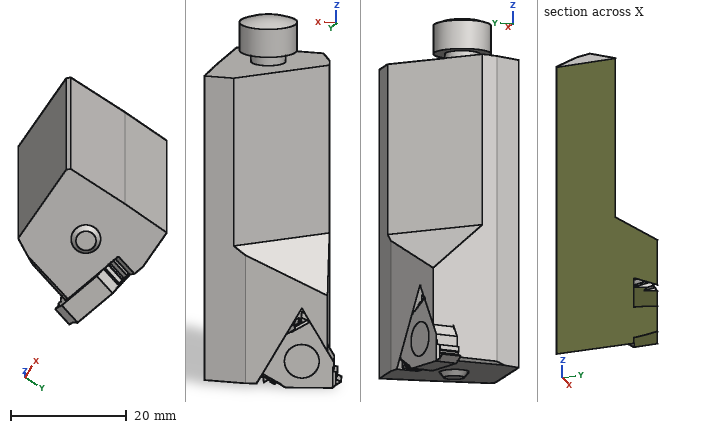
import cadquery as cq
import math


SHANK_TOP = 54.35
RIGHT_SIDE = 7.95
FRONT_SIDE = -8.0
BACK_SIDE = 12.7
RIGHT_RELIEF = 0.25
RIGHT_RELIEF_START = 3.8
CORNER_CHAMFER = 0.6
FRONT_FACE_LEFT = -7.5
FLANK_END = (-10.1, -3.3)
NOSE = (-13.4, 9.05)
LEAD_ANGLE = 15.0
lead = math.radians(LEAD_ANGLE)
along_seat = cq.Vector(-math.cos(lead), -math.sin(lead), 0)
seat_normal = cq.Vector(-math.sin(lead), math.cos(lead), 0)
seat_back_x = NOSE[0] + (BACK_SIDE - NOSE[1]) / math.tan(lead)

TOP_CUT_OFFSET = -10.3
TOP_CUT_END = 24.4
UNDERSIDE_TILT = 0.8
UNDERSIDE_BEVEL = 0.65
OVERSIZE = 37.9

NECK_DIAMETER = 6.0
NECK_HEIGHT = 2.0
HEAD_DIAMETER = 10.0
HEAD_HEIGHT = 5.0
DOME_HEIGHT = 1.0

TIP_CENTER = (-1.1, 1.8)
TIP_BOTTOM = -0.8
TIP_BASE_DIAMETER = 5.2
TIP_END_DIAMETER = 3.5
TIP_ROOT = 0.2

INSERT_THICKNESS = 4.2
INSCRIBED_RADIUS = 4.75
INSERT_BOTTOM = -0.7
INSERT_INSET = 4.4
CLAMP_HEAD_DIAMETER = 6.0
CORNER_COUNT = 3
UPPER_FLANK_START = 5.5
CORNER_PROFILE = [
    (5.25, -INSCRIBED_RADIUS),
    (6.75, -3.7),
    (5.9, -3.3),
    (5.9, -2.9),
    (6.05, -2.8),
    (6.05, -1.95),
    (UPPER_FLANK_START, -1.85),
    (UPPER_FLANK_START, 2 * INSCRIBED_RADIUS - math.sqrt(3) * UPPER_FLANK_START),
]
NOTCH_DEPTH = 0.45
NOTCH_SIDE = 5.4
NOTCH_TOP = -1.0
NOTCH_SLOPE = 45.0

nose_plane = cq.Plane(origin=(*NOSE, 0), xDir=along_seat, normal=seat_normal)
insert_plane = cq.Plane(
    origin=cq.Vector(*NOSE, INSERT_BOTTOM + INSCRIBED_RADIUS) - along_seat * INSERT_INSET,
    xDir=along_seat,
    normal=seat_normal,
)


def make_shank_blank():
    outline = [
        (FRONT_FACE_LEFT, FRONT_SIDE),
        (RIGHT_SIDE - CORNER_CHAMFER, FRONT_SIDE),
        (RIGHT_SIDE, FRONT_SIDE + CORNER_CHAMFER),
        (RIGHT_SIDE, RIGHT_RELIEF_START),
        (RIGHT_SIDE - RIGHT_RELIEF, BACK_SIDE),
        (seat_back_x, BACK_SIDE),
        NOSE,
        FLANK_END,
    ]
    return cq.Workplane("XY").polyline(outline).close().extrude(SHANK_TOP)


def make_top_cut():
    """Upright flat across the nose side that runs out in a 45 degree slope."""
    plane = cq.Plane(
        origin=(TOP_CUT_OFFSET / 2, -TOP_CUT_OFFSET / 2, TOP_CUT_END),
        xDir=(-1, 1, 0),
        normal=(1, 1, 0),
    )
    profile = [(0, 0), (OVERSIZE, -OVERSIZE), (OVERSIZE, OVERSIZE), (0, OVERSIZE)]
    return cq.Workplane(plane).polyline(profile).close().extrude(OVERSIZE, both=True)


def make_underside_cut():
    """Block under the shank whose top rises away from the insert seat."""
    return (
        cq.Workplane(nose_plane.rotated((UNDERSIDE_TILT, 0, 0)))
        .center(0, -OVERSIZE / 2)
        .rect(2 * OVERSIZE, OVERSIZE)
        .extrude(OVERSIZE, both=True)
    )


def make_bevel_cut():
    """Bevel along the lower edge of the end flank."""
    reach = 2 * UNDERSIDE_BEVEL
    profile = [
        (-reach, UNDERSIDE_BEVEL - reach),
        (reach, UNDERSIDE_BEVEL + reach),
        (reach, UNDERSIDE_BEVEL - reach),
    ]
    return cq.Workplane(nose_plane).polyline(profile).close().extrude(OVERSIZE, both=True)


def make_adjusting_screw():
    radius = HEAD_DIAMETER / 2
    head_bottom = SHANK_TOP + NECK_HEIGHT
    head_edge = head_bottom + HEAD_HEIGHT
    head_top = head_edge + DOME_HEIGHT
    dome_radius = (radius**2 + DOME_HEIGHT**2) / (2 * DOME_HEIGHT)
    half_angle = math.asin(radius / dome_radius) / 2
    dome_middle = (
        dome_radius * math.sin(half_angle),
        head_top - dome_radius * (1 - math.cos(half_angle)),
    )
    return (
        cq.Workplane("XZ")
        .moveTo(0, SHANK_TOP)
        .lineTo(NECK_DIAMETER / 2, SHANK_TOP)
        .lineTo(NECK_DIAMETER / 2, head_bottom)
        .lineTo(radius, head_bottom)
        .lineTo(radius, head_edge)
        .threePointArc(dome_middle, (0, head_top))
        .close()
        .revolve(360, (0, 0), (0, 1))
    )


def make_locking_tip():
    return (
        cq.Workplane("XY", origin=(*TIP_CENTER, TIP_ROOT))
        .circle(TIP_BASE_DIAMETER / 2)
        .workplane(offset=TIP_BOTTOM - TIP_ROOT)
        .circle(TIP_END_DIAMETER / 2)
        .loft()
    )


def make_clamp_screw():
    return cq.Workplane(insert_plane).circle(CLAMP_HEAD_DIAMETER / 2).extrude(-INSERT_THICKNESS)


def make_insert_pocket():
    """Triangular pocket with one corner up, open below and past the nose."""
    circumscribed_diameter = 4 * INSCRIBED_RADIUS
    return (
        cq.Workplane(insert_plane)
        .transformed(rotate=(0, 0, 90))
        .polygon(CORNER_COUNT, circumscribed_diameter)
        .extrude(-INSERT_THICKNESS)
    )


def make_holder():
    holder = make_shank_blank().cut(make_top_cut()).cut(make_underside_cut()).cut(make_bevel_cut())
    holder = holder.union(make_locking_tip()).cut(make_insert_pocket())
    return holder.union(make_adjusting_screw()).union(make_clamp_screw())


def turned(point, angle):
    """Point turned about the insert centre, angle in radians."""
    x, y = point
    return (
        x * math.cos(angle) - y * math.sin(angle),
        x * math.sin(angle) + y * math.cos(angle),
    )


def make_chip_notch(turn):
    """Shallow recess with sloping walls, open at the tooth and below."""
    far = 2 * INSCRIBED_RADIUS
    return (
        cq.Workplane(insert_plane)
        .transformed(rotate=(0, 0, turn))
        .center((NOTCH_SIDE + far) / 2, (NOTCH_TOP - far) / 2)
        .rect(far - NOTCH_SIDE, NOTCH_TOP + far)
        .extrude(-NOTCH_DEPTH, taper=NOTCH_SLOPE)
    )


def make_insert():
    turns = [corner * 360 / CORNER_COUNT for corner in range(CORNER_COUNT)]
    outline = [turned(point, math.radians(turn)) for turn in turns for point in CORNER_PROFILE]
    insert = cq.Workplane(insert_plane).polyline(outline).close().extrude(-INSERT_THICKNESS)
    for turn in turns:
        insert = insert.cut(make_chip_notch(turn))
    return insert.cut(make_clamp_screw())


holder = make_holder()
insert = make_insert()
result = cq.Compound.makeCompound([holder.solids().val(), insert.solids().val()])